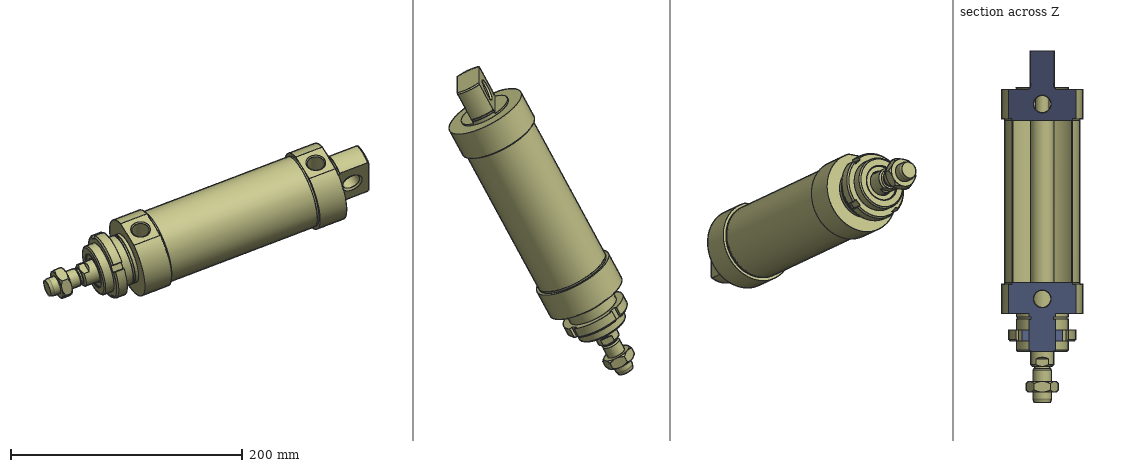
import cadquery as cq
import math


CAP_DIA = 70.2
CAP_FLAT_HEIGHT = 32.5
CAP_LENGTH = 25.5
COLLAR_LENGTH = 1.5
TUBE_DIA = 65.0
TUBE_BORE = 63.0
TUBE_LENGTH = 139.8
TUBE_START = CAP_LENGTH + COLLAR_LENGTH
TUBE_END = TUBE_START + TUBE_LENGTH
REAR_CAP_START = TUBE_END + COLLAR_LENGTH
REAR_CAP_END = REAR_CAP_START + CAP_LENGTH

PORT_DIA = 15.0
PORT_MOUTH_DIA = 17.0
PORT_FROM_CAP_END = 12.8

NOSE_DIA = 45.0
NOSE_LENGTH = 32.8
NOSE_CHAMFER = 1.2
GROOVE_DEPTH = 1.0
GROOVE_WIDTH = 1.8
NOSE_GROOVE_OFFSET = 3.0
RECESS_DIA = 30.0
RECESS_DEPTH = 1.2
RECESS_CHAMFER = 0.5
WIPER_BORE = 22.0
WIPER_DEPTH = 4.5

TANG_DISC_LENGTH = 1.5
TANG_LENGTH = 33.0
TANG_THICKNESS = 21.0
TANG_GROOVE_OFFSET = 3.3
PIVOT_DIA = 16.0
PIVOT_MOUTH_DIA = 19.5
PIVOT_FROM_TANG_END = 16.0

RING_DIA = 58.0
RING_WIDTH = 9.7
RING_OFFSET = 14.0
RING_CHAMFER = 1.2
RING_CHAMFER_LENGTH = 1.5
SLOT_COUNT = 4
SLOT_WIDTH = 6.0
SLOT_FLOOR_RADIUS = 26.0

ROD_DIA = 20.0
ROD_CHAMFER = 1.5
ROD_SHOULDER = 45.5
ROD_TAIL_DIA = 12.0
ROD_TAIL_LENGTH = 22.8
NECK_DIA = 13.5
NECK_LENGTH = 3.0
THREAD_DIA = 16.0
ROD_TIP = 77.0
THREAD_TIP_DIA = 14.3
THREAD_TIP_LENGTH = 3.0
WRENCH_FLATS = 17.0
WRENCH_FLATS_START = 39.2

HEX_FLATS = 24.3
HEX_WIDTH = 9.0
HEX_FRONT = 67.8
HEX_CHAMFER = 1.8


def cylinder(dia, y_start, y_end):
    """A round bar on the Y axis from y_start to y_end."""
    bar = cq.Workplane("XZ", origin=(0, y_start, 0)).circle(dia / 2)
    return bar.extrude(y_start - y_end)


def revolved(profile):
    """A solid of revolution about Y from (radius, y) points."""
    return cq.Workplane("XY").polyline(profile).close().revolve(360, (0, 0, 0), (0, 1, 0))


def groove_cutter(y_start):
    """A ring that cuts the groove of a nose-sized bar."""
    outer = cylinder(CAP_DIA, y_start, y_start + GROOVE_WIDTH)
    return outer.cut(cylinder(NOSE_DIA - 2 * GROOVE_DEPTH, y_start, y_start + GROOVE_WIDTH))


def cap_with_flat(y_start):
    """A round cap with one flat on top."""
    cap = cylinder(CAP_DIA, y_start, y_start + CAP_LENGTH)
    above_flat = cq.Workplane("XY", origin=(0, y_start + CAP_LENGTH / 2, CAP_FLAT_HEIGHT))
    return cap.cut(above_flat.box(CAP_DIA, CAP_LENGTH, CAP_DIA, centered=(True, True, False)))


def port_cutter(y):
    """A port with a 45 degree mouth, from the flat down to the axis, where the rod closes it."""
    mouth = (PORT_MOUTH_DIA - PORT_DIA) / 2
    profile = [
        (0, 0),
        (PORT_DIA / 2, 0),
        (PORT_DIA / 2, CAP_FLAT_HEIGHT - mouth),
        (PORT_MOUTH_DIA / 2, CAP_FLAT_HEIGHT),
        (0, CAP_FLAT_HEIGHT),
    ]
    port = cq.Workplane("XZ").polyline(profile).close().revolve(360, (0, 0, 0), (0, 1, 0))
    return port.translate((0, y, 0))


def make_tube():
    return cylinder(TUBE_DIA, TUBE_START, TUBE_END).cut(cylinder(TUBE_BORE, TUBE_START, TUBE_END))


def make_head():
    nose = cylinder(NOSE_DIA, -NOSE_LENGTH, 0).faces("<Y").chamfer(NOSE_CHAMFER)
    nose = nose.cut(groove_cutter(-NOSE_GROOVE_OFFSET - GROOVE_WIDTH))
    head = cap_with_flat(0).union(nose).union(cylinder(TUBE_DIA, CAP_LENGTH, TUBE_START))

    recess_floor = RECESS_DEPTH - NOSE_LENGTH
    wiper_floor = recess_floor + WIPER_DEPTH
    rod_passage = revolved([
        (0, -NOSE_LENGTH),
        (RECESS_DIA / 2 + RECESS_CHAMFER, -NOSE_LENGTH),
        (RECESS_DIA / 2, RECESS_CHAMFER - NOSE_LENGTH),
        (RECESS_DIA / 2, recess_floor),
        (WIPER_BORE / 2, recess_floor),
        (WIPER_BORE / 2, wiper_floor),
        (ROD_DIA / 2, wiper_floor),
        (ROD_DIA / 2, TUBE_START),
        (0, TUBE_START),
    ])
    return head.cut(rod_passage).cut(port_cutter(PORT_FROM_CAP_END))


def make_tang():
    """A grooved round bar with two flats across X and a cross hole for the pivot pin."""
    flats_start = REAR_CAP_END + TANG_DISC_LENGTH
    tang_end = REAR_CAP_END + TANG_LENGTH
    tang = cylinder(NOSE_DIA, REAR_CAP_END, tang_end).faces(">Y").chamfer(NOSE_CHAMFER)
    tang = tang.cut(groove_cutter(REAR_CAP_END + TANG_GROOVE_OFFSET))
    blade = cq.Workplane("XY").box(TANG_THICKNESS, tang_end - flats_start, NOSE_DIA)
    blade = blade.translate((0, (flats_start + tang_end) / 2, 0))
    tang = tang.intersect(blade.union(cylinder(NOSE_DIA, REAR_CAP_END, flats_start)))

    half_thickness = TANG_THICKNESS / 2
    mouth = (PIVOT_MOUTH_DIA - PIVOT_DIA) / 2
    pivot_profile = [
        (-half_thickness, 0),
        (-half_thickness, PIVOT_MOUTH_DIA / 2),
        (mouth - half_thickness, PIVOT_DIA / 2),
        (half_thickness - mouth, PIVOT_DIA / 2),
        (half_thickness, PIVOT_MOUTH_DIA / 2),
        (half_thickness, 0),
    ]
    pivot = cq.Workplane("XY").polyline(pivot_profile).close().revolve(360, (0, 0, 0), (1, 0, 0))
    return tang.cut(pivot.translate((0, tang_end - PIVOT_FROM_TANG_END, 0)))


def make_rear_cap():
    cap = cap_with_flat(REAR_CAP_START).union(cylinder(TUBE_DIA, TUBE_END, REAR_CAP_START))
    cap = cap.cut(cylinder(ROD_TAIL_DIA, TUBE_END, TUBE_END + ROD_TAIL_LENGTH))
    cap = cap.cut(port_cutter(REAR_CAP_END - PORT_FROM_CAP_END))
    return cap.union(make_tang())


def make_mounting_nut():
    """A round nut with slots at 45 degrees to X and Z."""
    back = -RING_OFFSET
    front = back - RING_WIDTH
    nut = revolved([
        (NOSE_DIA / 2, back),
        (RING_DIA / 2, back),
        (RING_DIA / 2, front + RING_CHAMFER_LENGTH),
        (RING_DIA / 2 - RING_CHAMFER, front),
        (NOSE_DIA / 2, front),
    ])
    slot = cq.Workplane("XY").box(RING_DIA, RING_WIDTH, SLOT_WIDTH, centered=(False, True, True))
    slot = slot.translate((SLOT_FLOOR_RADIUS, (front + back) / 2, 0))
    spacing = 360 / SLOT_COUNT
    for index in range(SLOT_COUNT):
        nut = nut.cut(slot.rotate((0, 0, 0), (0, 1, 0), spacing * (index + 0.5)))
    return nut


def make_rod():
    neck_end = -ROD_SHOULDER - NECK_LENGTH
    rod = revolved([
        (0, -ROD_TIP),
        (THREAD_TIP_DIA / 2, -ROD_TIP),
        (THREAD_DIA / 2, THREAD_TIP_LENGTH - ROD_TIP),
        (THREAD_DIA / 2, neck_end),
        (NECK_DIA / 2, neck_end + (THREAD_DIA - NECK_DIA) / 2),
        (NECK_DIA / 2, -ROD_SHOULDER),
        (ROD_DIA / 2 - ROD_CHAMFER, -ROD_SHOULDER),
        (ROD_DIA / 2, ROD_CHAMFER - ROD_SHOULDER),
        (ROD_DIA / 2, TUBE_END),
        (ROD_TAIL_DIA / 2, TUBE_END),
        (ROD_TAIL_DIA / 2, TUBE_END + ROD_TAIL_LENGTH),
        (0, TUBE_END + ROD_TAIL_LENGTH),
    ])
    ramp = (ROD_DIA - WRENCH_FLATS) / 2
    flat_profile = [
        (-ROD_SHOULDER, WRENCH_FLATS / 2),
        (-WRENCH_FLATS_START, WRENCH_FLATS / 2),
        (ramp - WRENCH_FLATS_START, ROD_DIA / 2),
        (-ROD_SHOULDER, ROD_DIA / 2),
    ]
    flat = cq.Workplane("YZ").polyline(flat_profile).close().extrude(ROD_DIA / 2, both=True)
    return rod.cut(flat).cut(flat.mirror("XY"))


def make_rod_nut():
    """A hexagon nut with corners on X, rounded off by a chamfered disc on both faces."""
    corner_dia = HEX_FLATS / math.cos(math.pi / 6)
    front = -HEX_FRONT
    hexagon = cq.Workplane("XZ", origin=(0, front, 0)).polygon(6, corner_dia).extrude(-HEX_WIDTH)
    disc = cylinder(corner_dia, front, front + HEX_WIDTH).faces("<Y or >Y").chamfer(HEX_CHAMFER)
    return hexagon.intersect(disc).cut(cylinder(THREAD_DIA, front, front + HEX_WIDTH))


tube = make_tube()
head = make_head()
rear_cap = make_rear_cap()
mounting_nut = make_mounting_nut()
rod = make_rod()
rod_nut = make_rod_nut()

result = cq.Compound.makeCompound([
    tube.val(),
    head.val(),
    rear_cap.val(),
    mounting_nut.val(),
    rod.val(),
    rod_nut.val(),
])